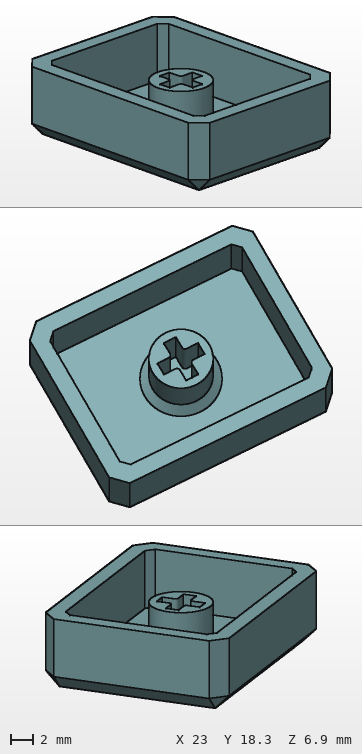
import cadquery as cq

body_length = 22.8
body_width = 18.02
body_height = 6.9
body_turn = -0.9
outer_chamfer = 1.38

wall = 1.6
floor = 1.38
inner_chamfer = 0.71

stem_diameter = 5.8
stem_recess = 1.0
foot_chamfer = 0.8
foot_diameter = stem_diameter + 2 * foot_chamfer
stem_height = body_height - floor - stem_recess

cross_span = 4.2
cross_arm = 1.25
cross_fillet = 0.3


def make_tray():
    """Open-topped box with chamfered outer and inner corners."""
    outer = cq.Workplane("XY").box(body_length, body_width, body_height, centered=(True, True, False))
    outer = outer.edges("|Z or <Z").chamfer(outer_chamfer)
    cavity = (
        cq.Workplane("XY", origin=(0, 0, floor))
        .rect(body_length - 2 * wall, body_width - 2 * wall)
        .extrude(body_height - floor)
        .edges("|Z")
        .chamfer(inner_chamfer)
    )
    return outer.cut(cavity).rotate((0, 0, 0), (0, 0, 1), body_turn)


def make_stem():
    """Round post standing on the floor, widened by a cone at its foot."""
    post = cq.Workplane("XY", origin=(0, 0, floor)).circle(stem_diameter / 2).extrude(stem_height)
    foot = (
        cq.Workplane("XY", origin=(0, 0, floor))
        .circle(foot_diameter / 2)
        .workplane(offset=foot_chamfer)
        .circle(stem_diameter / 2)
        .loft(ruled=True)
    )
    return post.union(foot)


def make_cross():
    """Two crossing bars; the inside corners between the arms are rounded."""
    base = cq.Workplane("XY", origin=(0, 0, floor))
    bar_x = base.rect(cross_span, cross_arm).extrude(stem_height)
    bar_y = base.rect(cross_arm, cross_span).extrude(stem_height)
    inside_corners = cq.selectors.BoxSelector(
        (-cross_arm, -cross_arm, 0), (cross_arm, cross_arm, body_height)
    )
    return bar_x.union(bar_y).edges("|Z").edges(inside_corners).fillet(cross_fillet)


result = make_tray().union(make_stem()).cut(make_cross())